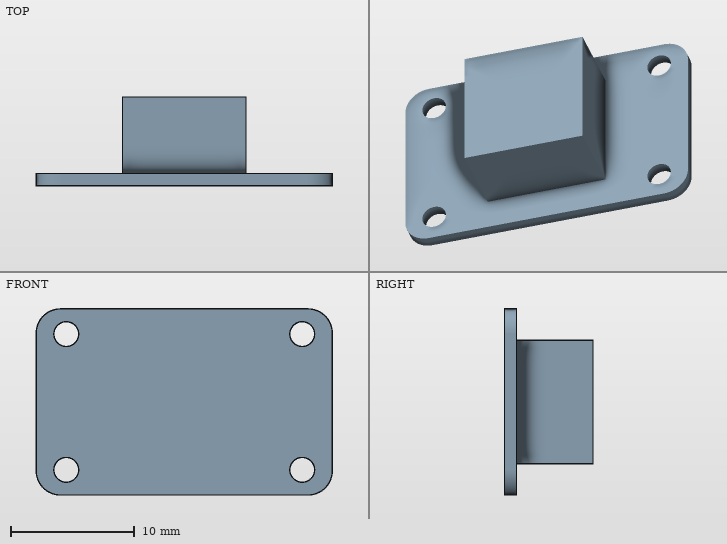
import cadquery as cq

plate_length = 24.0
plate_height = 15.1
plate_thickness = 1.0
corner_radius = 2.0

hole_diameter = 2.0
hole_spacing_x = 19.1
hole_spacing_z = 11.0

total_depth = 7.2
block_side = 10.0
block_depth = total_depth - plate_thickness


def make_plate():
    """Rounded plate with its front face on Y = 0 and a hole in each corner."""
    plate = (
        cq.Workplane("XZ")
        .rect(plate_length, plate_height)
        .extrude(-plate_thickness)
        .edges("|Y")
        .fillet(corner_radius)
    )
    holes = (
        cq.Workplane("XZ")
        .rect(hole_spacing_x, hole_spacing_z, forConstruction=True)
        .vertices()
        .circle(hole_diameter / 2)
        .extrude(-plate_thickness)
    )
    return plate.cut(holes)


def make_block():
    """Square block centred on the plate, rising from its back face."""
    return (
        cq.Workplane("XZ", origin=(0, plate_thickness, 0))
        .rect(block_side, block_side)
        .extrude(-block_depth)
    )


result = make_plate().union(make_block())